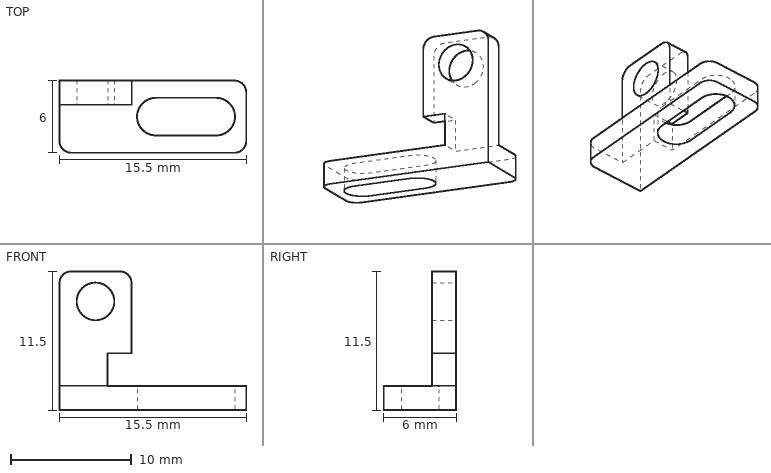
import cadquery as cq

base_length = 15.5
base_width = 6.0
thickness = 2.0
corner_radius = 1.0

tab_width = 6.0
total_height = 11.5
neck_width = 4.0
neck_top = 4.7

hole_diameter = 3.1
hole_height = 9.0
slot_center_spacing = 5.0
slot_center_x = 10.5


def make_base():
    """Flat plate, rounded everywhere except at the corner below the tab."""
    plate = cq.Workplane("XY").box(base_length, base_width, thickness, centered=False)
    plate = plate.edges("|Z and >X").fillet(corner_radius)
    return plate.edges("|Z and <X and <Y").fillet(corner_radius)


def make_tab():
    """Upright tab with a rounded top and a narrower neck above the base."""
    tab = (
        cq.Workplane("XZ", origin=(0, base_width, 0))
        .moveTo(0, 0)
        .lineTo(neck_width, 0)
        .lineTo(neck_width, neck_top)
        .lineTo(tab_width, neck_top)
        .lineTo(tab_width, total_height)
        .lineTo(0, total_height)
        .close()
        .extrude(thickness)
    )
    return tab.faces(">Z").edges("|Y").fillet(corner_radius)


def make_hole():
    """Round hole through the tab, centred across its width."""
    return (
        cq.Workplane("XZ", origin=(0, base_width, 0))
        .center(tab_width / 2, hole_height)
        .circle(hole_diameter / 2)
        .extrude(thickness)
    )


def make_slot():
    """Round-ended slot through the base, centred across its width."""
    return (
        cq.Workplane("XY")
        .center(slot_center_x, base_width / 2)
        .slot2D(slot_center_spacing + hole_diameter, hole_diameter)
        .extrude(thickness)
    )


result = make_base().union(make_tab()).cut(make_hole()).cut(make_slot())